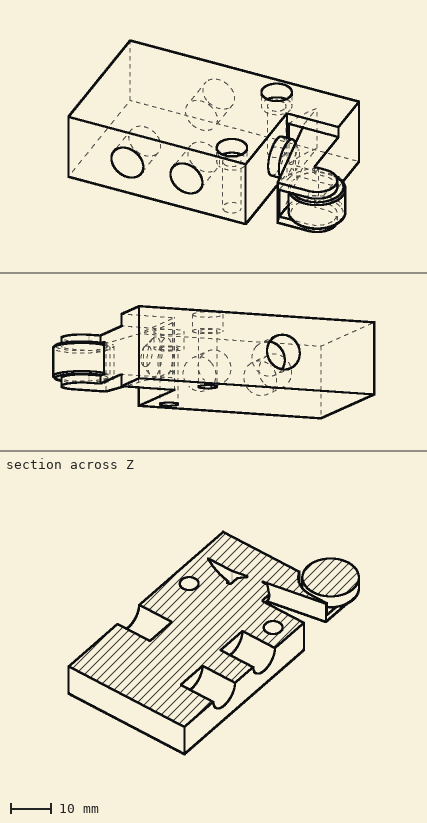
import cadquery as cq
import math

overall_length = 72.0

body_length = 62.0
body_width = 36.0
body_height = 18.0
notch_x = 48.0
notch_y = 24.0
mid_z = body_height / 2

screw_hole_diameter = 4.5
counterbore_diameter = 7.5
counterbore_depth = 4.1
screw_x = 42.0
screw_edge_distance = 5.0

port_diameter = 8.65
port_depth = 10.1
port_x_positions = (16.0, 32.0)

plunger_diameter = 9.9
plunger_tip_diameter = 4.75
plunger_straight_length = 2.9
plunger_y = 18.0

roller_radius = 7.0
roller_width = 8.0
roller_chamfer = 0.5
roller_x = overall_length - roller_radius

lever_height = 12.0
arm_radius = 5.0
roller_y = arm_radius
lever_foot_x = 56.7
lever_mouth_x = 52.3
lever_head_x = 52.0
roller_slot_radius = 7.9

recess_mouth_x = 48.5
recess_radius = 25.7
recess_start_angle = math.radians(10.5)


def centred_prism(outline, height):
    """Extrude an XY outline symmetrically about the middle height of the part."""
    return outline.extrude(height / 2, both=True)


def mid_plane():
    return cq.Workplane("XY", origin=(0, 0, mid_z))


def make_body():
    return (
        cq.Workplane("XY")
        .moveTo(0, 0)
        .lineTo(notch_x, 0)
        .lineTo(notch_x, notch_y)
        .lineTo(body_length, notch_y)
        .lineTo(body_length, body_width)
        .lineTo(0, body_width)
        .close()
        .extrude(body_height)
    )


def make_recess():
    """Clearance between the lever head and the curved recess wall."""
    centre_x = recess_mouth_x + recess_radius * math.cos(recess_start_angle)
    centre_y = notch_y - recess_radius * math.sin(recess_start_angle)
    end_angle = math.acos((centre_x - lever_head_x) / recess_radius)

    def wall_point(angle):
        return (
            centre_x - recess_radius * math.cos(angle),
            centre_y + recess_radius * math.sin(angle),
        )

    slant_slope = notch_y / (lever_foot_x - lever_mouth_x)
    slant_end_y = notch_y + (lever_mouth_x - lever_head_x) * slant_slope
    outline = (
        mid_plane()
        .moveTo(recess_mouth_x, notch_y)
        .threePointArc(
            wall_point((recess_start_angle + end_angle) / 2), wall_point(end_angle)
        )
        .lineTo(lever_head_x, slant_end_y)
        .lineTo(lever_mouth_x, notch_y)
        .close()
    )
    return centred_prism(outline, lever_height)


def drill_screw_holes(body):
    screw_points = [
        (screw_x, screw_edge_distance),
        (screw_x, body_width - screw_edge_distance),
    ]
    return (
        body.faces(">Z")
        .workplane(origin=(0, 0, body_height))
        .pushPoints(screw_points)
        .cboreHole(screw_hole_diameter, counterbore_diameter, counterbore_depth)
    )


def make_port(x, y, inward):
    """Blind port drilled along Y; inward is +1 or -1."""
    return cq.Workplane(
        cq.Solid.makeCylinder(
            port_diameter / 2, port_depth, cq.Vector(x, y, mid_z), cq.Vector(0, inward, 0)
        )
    )


def make_plunger():
    """Round pin with a 45 degree cone, standing out of the notch face along X."""
    radius = plunger_diameter / 2
    tip_radius = plunger_tip_diameter / 2
    shoulder_x = notch_x + plunger_straight_length
    tip_x = shoulder_x + radius - tip_radius
    return (
        cq.Workplane("XY", origin=(0, plunger_y, mid_z))
        .moveTo(notch_x, 0)
        .lineTo(notch_x, radius)
        .lineTo(shoulder_x, radius)
        .lineTo(tip_x, tip_radius)
        .lineTo(tip_x, 0)
        .close()
        .revolve(360, (0, 0, 0), (1, 0, 0))
    )


def make_lever():
    outline = (
        mid_plane()
        .moveTo(lever_foot_x, 0)
        .lineTo(roller_x, 0)
        .threePointArc((roller_x + arm_radius, roller_y), (roller_x, 2 * arm_radius))
        .lineTo(body_length, 2 * arm_radius)
        .lineTo(body_length, notch_y)
        .lineTo(lever_mouth_x, notch_y)
        .close()
    )
    return centred_prism(outline, lever_height).cut(make_roller_slot())


def make_roller_slot():
    """Half-round pocket around the roller, open toward -Y."""
    outline = (
        mid_plane()
        .moveTo(roller_x - roller_slot_radius, 0)
        .lineTo(roller_x - roller_slot_radius, roller_y)
        .threePointArc(
            (roller_x, roller_y + roller_slot_radius),
            (roller_x + roller_slot_radius, roller_y),
        )
        .lineTo(roller_x + roller_slot_radius, 0)
        .close()
    )
    return centred_prism(outline, roller_width)


def make_roller():
    outline = mid_plane().center(roller_x, roller_y).circle(roller_radius)
    return centred_prism(outline, roller_width).edges("%CIRCLE").chamfer(roller_chamfer)


body = drill_screw_holes(make_body()).cut(make_recess())
for port_x in port_x_positions:
    body = body.cut(make_port(port_x, 0, 1))
rear_port_x = sum(port_x_positions) / len(port_x_positions)
body = body.cut(make_port(rear_port_x, body_width, -1))

result = body.union(make_lever()).union(make_roller()).union(make_plunger())